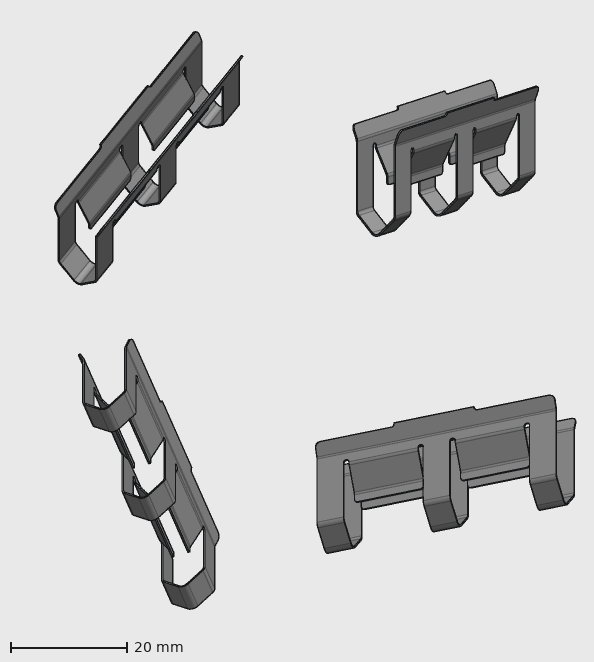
import cadquery as cq
import math

LENGTH = 45.0
HEIGHT = 19.75
THICKNESS = 0.3
WALL_HALF_WIDTH = 4.0
BEND_RADIUS = 1.0

LEG_WIDTH = LENGTH / 9
SLOT_WIDTH = LEG_WIDTH / 5
LEG_SLOPE = 45.0
FLARE_ANGLE = 20.7
FLARE_LENGTH = 3.2

RAISED_LENGTH = LENGTH / 3
RIM_STEP = 0.65
STEP_FILLET = 0.6
RIM_CORNER_RADIUS = 1.0

TAB_ROOT_Z = 14.55
TAB_END_Z = 7.8
TAB_ANGLE = 26.5
TAB_GAP = 2.65
TAB_CORNER_RADIUS = 0.6

MID_RADIUS = BEND_RADIUS + THICKNESS / 2
WALL_MID_X = WALL_HALF_WIDTH - THICKNESS / 2
WINDOW_LENGTH = (LENGTH - 3 * LEG_WIDTH) / 2
WINDOW_OFFSET = (WINDOW_LENGTH + LEG_WIDTH) / 2
TAB_LENGTH = WINDOW_LENGTH - 2 * SLOT_WIDTH

ARC_MIDDLE_INSET = 1 - math.sqrt(0.5)


def bent_strip(start, heading, steps, length):
    """Sheet strip centred on Y = 0, built along its mid-line in XZ.

    Each step is ("straight", distance) or ("bend", angle).
    Headings are degrees from +X towards +Z, and positive bends turn left.
    Returns the solid with the end point of the mid-line.
    """
    x, z = start
    angle = math.radians(heading)

    def across(side):
        offset = side * THICKNESS / 2
        return (x - offset * math.sin(angle), z + offset * math.cos(angle))

    def turn(swing):
        nonlocal x, z, angle
        radius = math.copysign(MID_RADIUS, swing)
        x += radius * (math.sin(angle + swing) - math.sin(angle))
        z -= radius * (math.cos(angle + swing) - math.cos(angle))
        angle += swing

    left = [across(1)]
    right = [across(-1)]
    middles = []
    for kind, amount in steps:
        if kind == "straight":
            x += amount * math.cos(angle)
            z += amount * math.sin(angle)
            middles.append(None)
        else:
            half_swing = math.radians(amount) / 2
            turn(half_swing)
            middles.append((across(1), across(-1)))
            turn(half_swing)
        left.append(across(1))
        right.append(across(-1))

    outline = cq.Workplane("XZ").moveTo(*right[0])
    for middle, point in zip(middles, right[1:]):
        outline = outline.threePointArc(middle[1], point) if middle else outline.lineTo(*point)
    outline = outline.lineTo(*left[-1])
    for middle, point in zip(reversed(middles), reversed(left[:-1])):
        outline = outline.threePointArc(middle[0], point) if middle else outline.lineTo(*point)
    return outline.close().extrude(length / 2, both=True), (x, z)


def half_shell():
    """Right half of the bent sheet, with the mid-line point at the top of its flare."""
    slope = math.radians(LEG_SLOPE)
    flare = math.radians(FLARE_ANGLE)
    leg_run = (WALL_MID_X - MID_RADIUS) / math.cos(slope)
    wall_bottom = BEND_RADIUS + THICKNESS + leg_run * math.sin(slope)
    flare_rise = (MID_RADIUS + THICKNESS / 2) * math.sin(flare) + FLARE_LENGTH * math.cos(flare)
    wall_top = HEIGHT - flare_rise
    steps = [
        ("bend", LEG_SLOPE),
        ("straight", leg_run),
        ("bend", 90 - LEG_SLOPE),
        ("straight", wall_top - wall_bottom),
        ("bend", -FLARE_ANGLE),
        ("straight", FLARE_LENGTH),
    ]
    return bent_strip((0, THICKNESS / 2), 0, steps, LENGTH)


def rim_trim(rim_point):
    """Cutter, square to the flare, that leaves the raised middle and rounds the rim's ends."""
    flare = math.radians(FLARE_ANGLE)
    plane = cq.Plane(
        origin=(rim_point[0], 0, rim_point[1]),
        xDir=(0, 1, 0),
        normal=(math.cos(flare), 0, -math.sin(flare)),
    )
    half_raised = RAISED_LENGTH / 2
    half_length = LENGTH / 2
    margin = THICKNESS
    corner_rise = RIM_CORNER_RADIUS * ARC_MIDDLE_INSET
    fillet_rise = STEP_FILLET * ARC_MIDDLE_INSET
    trim = cq.Workplane("XY")
    for side in (1, -1):
        corner = (
            cq.Workplane(plane)
            .moveTo(side * half_raised, margin)
            .lineTo(side * half_raised, STEP_FILLET - RIM_STEP)
            .threePointArc(
                (side * (half_raised + fillet_rise), fillet_rise - RIM_STEP),
                (side * (half_raised + STEP_FILLET), -RIM_STEP),
            )
            .lineTo(side * (half_length - RIM_CORNER_RADIUS), -RIM_STEP)
            .threePointArc(
                (side * (half_length - corner_rise), -RIM_STEP - corner_rise),
                (side * half_length, -RIM_STEP - RIM_CORNER_RADIUS),
            )
            .lineTo(side * (half_length + margin), -RIM_STEP - RIM_CORNER_RADIUS)
            .lineTo(side * (half_length + margin), margin)
            .close()
            .extrude(THICKNESS, both=True)
        )
        trim = trim.add(corner)
    return trim.combine()


def window(center_y):
    """Opening between two legs, with a round-topped relief slot on each side of the tab."""
    opening = (
        cq.Workplane("XY")
        .box(WALL_HALF_WIDTH * 2, WINDOW_LENGTH, TAB_ROOT_Z, centered=(False, True, False))
        .translate((-WALL_HALF_WIDTH / 2, center_y, 0))
    )
    slot_offset = (WINDOW_LENGTH - SLOT_WIDTH) / 2
    slot_tops = (
        cq.Workplane("YZ")
        .pushPoints([(center_y + side * slot_offset, TAB_ROOT_Z) for side in (1, -1)])
        .circle(SLOT_WIDTH / 2)
        .extrude(WALL_HALF_WIDTH * 2)
    )
    return opening.union(slot_tops)


def spring_tab(center_y):
    """Tab bent inwards from the right wall, then straight down."""
    angle = math.radians(TAB_ANGLE)
    bend_shift = MID_RADIUS * (1 - math.cos(angle))
    shift = WALL_MID_X - (TAB_GAP + THICKNESS) / 2
    slope_length = (shift - 2 * bend_shift) / math.sin(angle)
    bent_drop = 2 * MID_RADIUS * math.sin(angle) + slope_length * math.cos(angle)
    steps = [
        ("bend", -TAB_ANGLE),
        ("straight", slope_length),
        ("bend", TAB_ANGLE),
        ("straight", TAB_ROOT_Z - TAB_END_Z - bent_drop),
    ]
    tab, _ = bent_strip((WALL_MID_X, TAB_ROOT_Z), -90, steps, TAB_LENGTH)
    tab = tab.faces("<Z").edges("|X").fillet(TAB_CORNER_RADIUS)
    return tab.translate((0, center_y, 0))


shell, rim_point = half_shell()
half = shell.cut(rim_trim(rim_point))
for center_y in (-WINDOW_OFFSET, WINDOW_OFFSET):
    half = half.cut(window(center_y)).union(spring_tab(center_y))

result = half.union(half.mirror("YZ"))